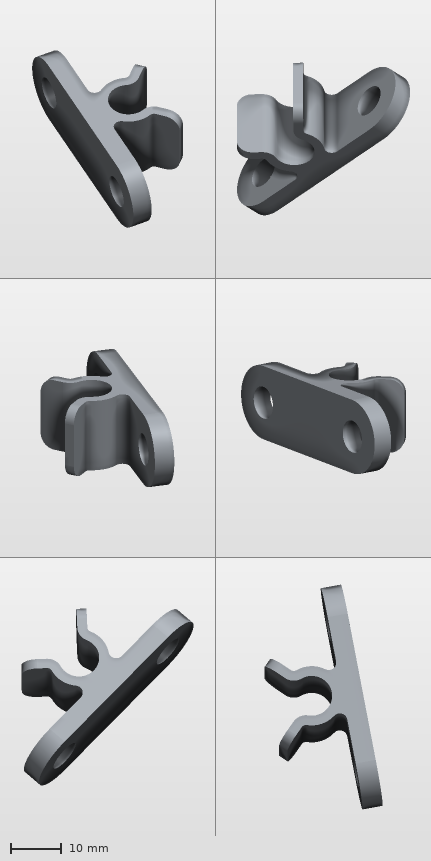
import cadquery as cq
import math

plate_length = 45.0
plate_height = 15.0
plate_thickness = 4.0
hole_diameter = 6.5
hole_spacing = plate_length - plate_height

total_depth = 18.0
socket_radius = 4.0
clip_wall = 2.0
root_fillet = 1.5
bend_radius = 1.0
socket_end_angle = math.radians(20.0)
lip_angle = math.radians(45.0)
lip_corner_radius = 3.0

outer_radius = socket_radius + clip_wall
socket_center = (0.0, plate_thickness + outer_radius)


def polar(center, radius, angle):
    """Point at a given radius and angle from a center."""
    return (center[0] + radius * math.cos(angle), center[1] + radius * math.sin(angle))


def mirrored(point):
    """The same point on the other side of X = 0."""
    return (-point[0], point[1])


def add_step(outline, through, end):
    """Add a straight line, or an arc if a through point is given."""
    if through is None:
        return outline.lineTo(*end)
    return outline.threePointArc(through, end)


def round_plate_ends(body):
    """Trim the plate to a stadium shape."""
    stadium = cq.Workplane("XZ").slot2D(plate_length, plate_height).extrude(-total_depth)
    return body.intersect(stadium)


def drill_holes(body):
    """Cut the two screw holes through the plate, along Y."""
    holes = (
        cq.Workplane("XZ")
        .pushPoints([(-hole_spacing / 2, 0), (hole_spacing / 2, 0)])
        .circle(hole_diameter / 2)
        .extrude(-plate_thickness)
    )
    return body.cut(holes)


def make_profile_body():
    """Plate and clip in one prism, symmetric about X = 0, with the back face at Y = 0."""
    fillet_x = 2 * math.sqrt(outer_radius * root_fillet)
    fillet_center = (fillet_x, plate_thickness + root_fillet)
    to_socket = math.atan2(socket_center[1] - fillet_center[1], -fillet_x)
    fillet_middle = (to_socket + 3 * math.pi / 2) / 2
    fillet_end = polar(fillet_center, root_fillet, to_socket)
    root_angle = to_socket - math.pi

    bend_center = polar(socket_center, outer_radius + bend_radius, socket_end_angle)
    bend_start = socket_end_angle + math.pi
    bend_end = lip_angle + math.pi / 2
    bend_middle = (bend_start + bend_end) / 2
    inner_bend_radius = bend_radius + clip_wall

    inner_lip_start = polar(bend_center, inner_bend_radius, bend_end)
    outer_lip_start = polar(bend_center, bend_radius, bend_end)
    lip_length = (total_depth - inner_lip_start[1]) / math.sin(lip_angle)
    inner_tip = polar(inner_lip_start, lip_length, lip_angle)
    outer_tip = polar(outer_lip_start, lip_length, lip_angle)

    plate_side = plate_length / 2
    start = (plate_side, 0)
    right_side = [
        (None, (plate_side, plate_thickness)),
        (None, (fillet_x, plate_thickness)),
        (polar(fillet_center, root_fillet, fillet_middle), fillet_end),
        (
            polar(socket_center, outer_radius, (root_angle + socket_end_angle) / 2),
            polar(socket_center, outer_radius, socket_end_angle),
        ),
        (polar(bend_center, bend_radius, bend_middle), outer_lip_start),
        (None, outer_tip),
        (None, inner_tip),
        (None, inner_lip_start),
        (
            polar(bend_center, inner_bend_radius, bend_middle),
            polar(socket_center, socket_radius, socket_end_angle),
        ),
    ]

    outline = cq.Workplane("XY", origin=(0, 0, -plate_height / 2)).moveTo(*start)
    for through, end in right_side:
        outline = add_step(outline, through, end)

    socket_bottom = polar(socket_center, socket_radius, -math.pi / 2)
    outline = add_step(outline, socket_bottom, mirrored(right_side[-1][1]))

    step_starts = [start] + [end for _, end in right_side[:-1]]
    for (through, _), end in reversed(list(zip(right_side, step_starts))):
        outline = add_step(outline, through and mirrored(through), mirrored(end))
    return outline.close().extrude(plate_height)


def round_lip_corners(body):
    """Round the top and bottom corners at the free end of each lip."""
    for side in (-1, 1):
        tip = cq.Vector(side * math.cos(lip_angle), math.sin(lip_angle), 0)
        corners = body.faces(cq.selectors.DirectionMinMaxSelector(tip)).edges("not |Z")
        body = corners.fillet(lip_corner_radius)
    return body


result = drill_holes(round_plate_ends(round_lip_corners(make_profile_body())))